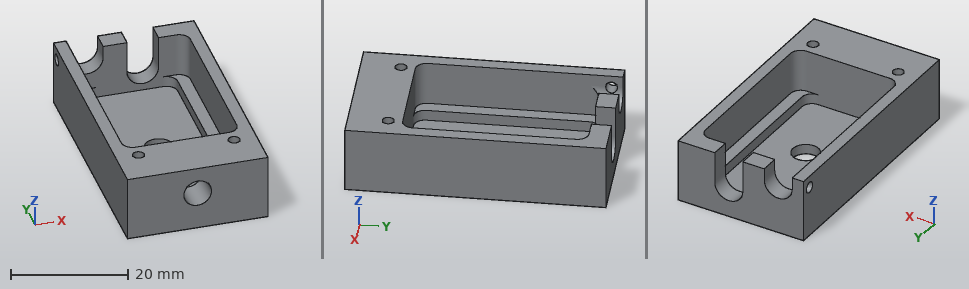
import cadquery as cq
import math

width = 25.0
length = 45
height = 12.0

side_wall = 2.25
front_wall = 9.45
rear_wall = 3.45
ledge_width = 2.25
ledge_depth = 8.1
pocket_depth = 10.1
corner_radius = 2.0

slot_width = 5.6
slot_radius = slot_width / 2
left_slot = (side_wall + slot_radius, 2.25)
middle_slot = (14.9, height / 2)

floor_hole_diameter = 5.1
floor_hole_y = 23.5
small_hole_diameter = 2.02
top_hole_spacing = 17.0
top_hole_y = 6.98
top_hole_depth = 5.0
side_hole_from_rear = 2.0
side_hole_from_top = 2.25
front_hole_diameter = 4.9
front_hole_depth = 6.0
front_hole_from_top = 5.0
drill_point_angle = 118


def pocket(inset, depth):
    """Rounded rectangular cutter, inset from the left and right sides."""
    pocket_length = length - front_wall - rear_wall
    return (
        cq.Workplane("XY", origin=(width / 2, front_wall + pocket_length / 2, height - depth))
        .rect(width - 2 * inset, pocket_length)
        .extrude(depth)
        .edges("|Z")
        .fillet(corner_radius)
    )


def rear_slot(center_x, arc_depth):
    """U-shaped cutter, open at the top, running through the rear wall and its inner corner."""
    reach = rear_wall + corner_radius
    return (
        cq.Workplane("XZ", origin=(center_x, length, height))
        .moveTo(-slot_radius, 0)
        .lineTo(-slot_radius, -arc_depth)
        .threePointArc((0, -arc_depth - slot_radius), (slot_radius, -arc_depth))
        .lineTo(slot_radius, 0)
        .close()
        .extrude(reach)
    )


def drilled_hole(position, direction, diameter, depth):
    """Blind-hole cutter with a conical bottom."""
    radius = diameter / 2
    tip = radius / math.tan(math.radians(drill_point_angle / 2))
    start = cq.Vector(*position)
    axis = cq.Vector(*direction)
    bore = cq.Solid.makeCylinder(radius, depth, start, axis)
    point = cq.Solid.makeCone(radius, 0, tip, start + axis * depth, axis)
    return bore.fuse(point)


result = cq.Workplane("XY").box(width, length, height, centered=False)

result = result.cut(pocket(side_wall, ledge_depth))
result = result.cut(pocket(side_wall + ledge_width, pocket_depth))

for center_x, arc_depth in (left_slot, middle_slot):
    result = result.cut(rear_slot(center_x, arc_depth))

floor_hole = (
    cq.Workplane("XY", origin=(width / 2, floor_hole_y, 0))
    .circle(floor_hole_diameter / 2)
    .extrude(height)
)
result = result.cut(floor_hole)

side_hole = (
    cq.Workplane("YZ", origin=(0, length - side_hole_from_rear, height - side_hole_from_top))
    .circle(small_hole_diameter / 2)
    .extrude(left_slot[0])
)
result = result.cut(side_hole)

for side in (-1, 1):
    top_position = (width / 2 + side * top_hole_spacing / 2, top_hole_y, height)
    result = result.cut(drilled_hole(top_position, (0, 0, -1), small_hole_diameter, top_hole_depth))

front_position = (width / 2, 0, height - front_hole_from_top)
result = result.cut(drilled_hole(front_position, (0, 1, 0), front_hole_diameter, front_hole_depth))